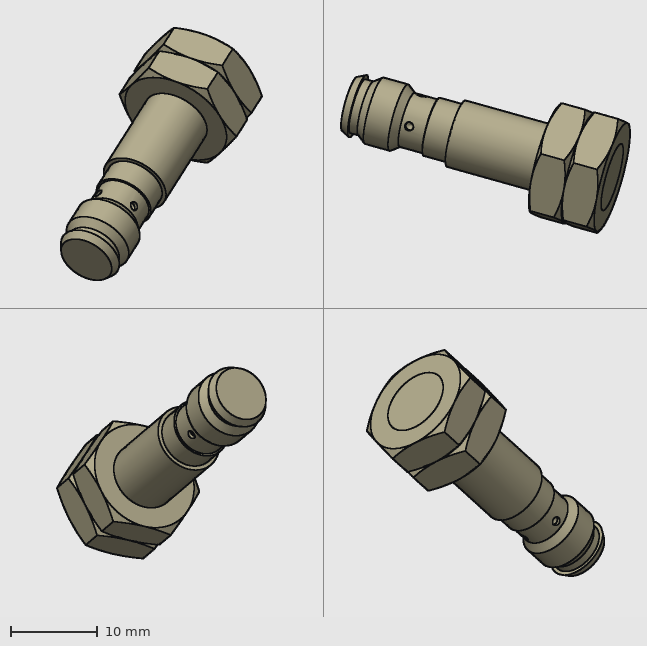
import cadquery as cq
import math

LENGTH = 32.0
STEP = LENGTH / 32
NUT_THICKNESS = 4 * STEP
THREAD_END = 19 * STEP
SHOULDER_END = 22 * STEP
NECK_END = 25 * STEP
COLLAR_START = 26 * STEP
COLLAR_END = 29 * STEP
GROOVE_START = 30 * STEP
LIP_START = 31 * STEP

THREAD_RADIUS = 4 * STEP
SHOULDER_RADIUS = 7 * STEP / 2
NECK_RADIUS = 6.5 * STEP / 2
LIP_RADIUS = 7.5 * STEP / 2

HOLE_COUNT = 4
HOLE_START_ANGLE = 45.0
HOLE_STATION = 24 * STEP
HOLE_RADIUS = 0.5 * STEP
HOLE_DEPTH = 0.5 * STEP
DRILL_POINT_ANGLE = 118.0

NUT_COUNT = 2
ACROSS_FLATS = 13 * STEP
CHAMFER_ANGLE = 30.0


def revolve_about_y(outline):
    """Revolve (radius, station) points about the Y axis; stations run toward -Y."""
    points = [(radius, -station) for radius, station in outline]
    return cq.Workplane("XY").polyline(points).close().revolve(360, (0, 0, 0), (0, 1, 0))


def make_drilling(angle):
    """Radial drill cutter: a round wall ending in a conical point toward the axis."""
    outward = cq.Vector(math.cos(math.radians(angle)), 0, math.sin(math.radians(angle)))
    shoulder = outward * (NECK_RADIUS - HOLE_DEPTH) + cq.Vector(0, -HOLE_STATION, 0)
    point_height = HOLE_RADIUS / math.tan(math.radians(DRILL_POINT_ANGLE / 2))
    wall = cq.Solid.makeCylinder(HOLE_RADIUS, 2 * HOLE_DEPTH, shoulder, outward)
    point = cq.Solid.makeCone(HOLE_RADIUS, 0, point_height, shoulder, outward * -1)
    return wall.fuse(point)


def make_body():
    """Stepped round body with a collar, a flared lip and blind holes in the neck."""
    body = revolve_about_y([
        (0, 0),
        (THREAD_RADIUS, 0),
        (THREAD_RADIUS, THREAD_END),
        (SHOULDER_RADIUS, THREAD_END),
        (SHOULDER_RADIUS, SHOULDER_END),
        (NECK_RADIUS, SHOULDER_END),
        (NECK_RADIUS, NECK_END),
        (THREAD_RADIUS, COLLAR_START),
        (THREAD_RADIUS, COLLAR_END),
        (NECK_RADIUS, GROOVE_START),
        (NECK_RADIUS, LIP_START),
        (LIP_RADIUS, LIP_START),
        (NECK_RADIUS, LENGTH),
        (0, LENGTH),
    ])
    for index in range(HOLE_COUNT):
        body = body.cut(cq.Workplane(make_drilling(HOLE_START_ANGLE + index * 360 / HOLE_COUNT)))
    return body


def make_nut(start):
    """Hexagonal nut with corners chamfered on both faces, bored to fit the body."""
    flat_radius = ACROSS_FLATS / 2
    corner_radius = flat_radius / math.cos(math.pi / 6)
    chamfer_height = (corner_radius - flat_radius) * math.tan(math.radians(CHAMFER_ANGLE))
    end = start + NUT_THICKNESS
    hexagon = (
        cq.Workplane("XZ", origin=(0, -start, 0))
        .polygon(6, 2 * corner_radius)
        .extrude(NUT_THICKNESS)
    )
    chamfered_ring = revolve_about_y([
        (THREAD_RADIUS, start),
        (flat_radius, start),
        (corner_radius, start + chamfer_height),
        (corner_radius, end - chamfer_height),
        (flat_radius, end),
        (THREAD_RADIUS, end),
    ])
    return hexagon.intersect(chamfered_ring)


body = make_body()
nuts = [make_nut(index * NUT_THICKNESS) for index in range(NUT_COUNT)]

result = cq.Compound.makeCompound([body.val(), *[nut.val() for nut in nuts]])